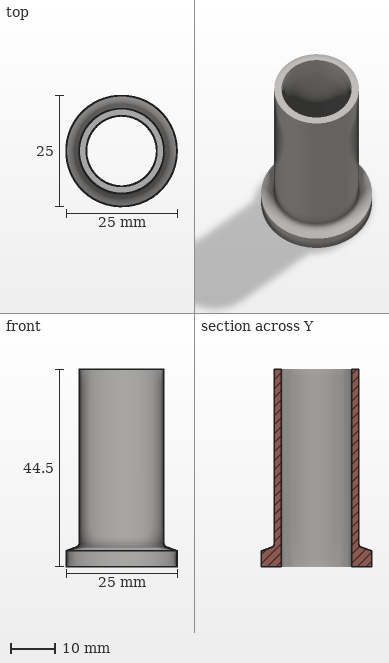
import cadquery as cq
import math

total_height = 44.45
flange_diameter = 25.0
tube_diameter = 19.05
bore_diameter = 15.8

rim_height = 3.6
shoulder_angle = 20.0
root_fillet_radius = 0.8

flange_radius = flange_diameter / 2
tube_radius = tube_diameter / 2
bore_radius = bore_diameter / 2
shoulder_rise = (flange_radius - tube_radius) * math.tan(math.radians(shoulder_angle))
shoulder_top = rim_height + shoulder_rise

body = (
    cq.Workplane("XZ")
    .moveTo(bore_radius, 0)
    .lineTo(flange_radius, 0)
    .lineTo(flange_radius, rim_height)
    .lineTo(tube_radius, shoulder_top)
    .lineTo(tube_radius, total_height)
    .lineTo(bore_radius, total_height)
    .close()
    .revolve(360, (0, 0, 0), (0, 1, 0))
)

root_edge = cq.selectors.BoxSelector(
    (-flange_radius, -flange_radius, rim_height + shoulder_rise / 2),
    (flange_radius, flange_radius, total_height / 2),
)
result = body.edges(root_edge).fillet(root_fillet_radius)